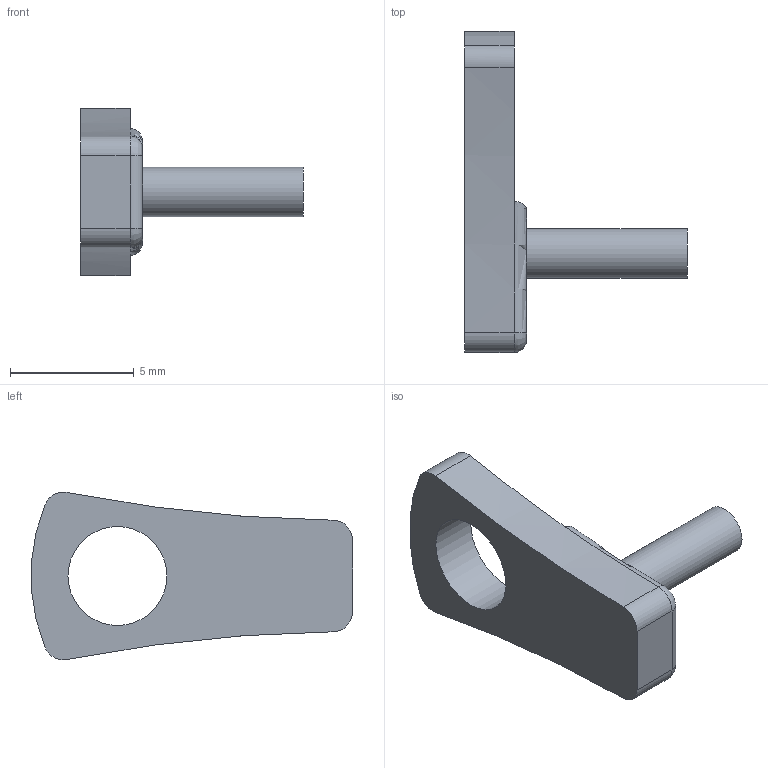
import cadquery as cq
import math

plate_thickness = 2.0
pad_thickness = 0.5
pin_diameter = 2.0
pin_end_x = 9.0
pin_to_flat_end = 4.0
pin_to_hole = 5.5
hole_diameter = 4.0
hole_to_round_end = 3.5

flat_end_half_width = 2.25
side_radius = 59.6
round_end_radius = 7.5
flat_corner_radius = 0.8
round_corner_radius = 0.8

pad_end_radius = 4.25
pad_edge_radius = 0.5

flat_end_y = -pin_to_flat_end
round_end_y = pin_to_hole + hole_to_round_end
round_end_center_y = round_end_y - round_end_radius
side_center_z = flat_end_half_width + side_radius


def side_half_width(y):
    """Half width of the plate; the concave side runs parallel to Y at the flat end."""
    return side_center_z - math.sqrt(side_radius**2 - (y - flat_end_y) ** 2)


def side_and_round_end_corner():
    """Point (y, z) where the concave side arc crosses the round end arc."""
    dy = round_end_center_y - flat_end_y
    distance = math.hypot(dy, side_center_z)
    along = (distance**2 + side_radius**2 - round_end_radius**2) / (2 * distance)
    across = math.sqrt(side_radius**2 - along**2)
    uy = dy / distance
    uz = -side_center_z / distance
    return flat_end_y + along * uy - across * uz, side_center_z + along * uz + across * uy


def outline_prism(thickness):
    """Tapered outline with rounded corners, extruded from X = 0."""
    corner_y, corner_z = side_and_round_end_corner()
    middle_y = (flat_end_y + corner_y) / 2
    middle_z = side_half_width(middle_y)
    prism = (
        cq.Workplane("YZ")
        .moveTo(flat_end_y, -flat_end_half_width)
        .threePointArc((middle_y, -middle_z), (corner_y, -corner_z))
        .threePointArc((round_end_y, 0), (corner_y, corner_z))
        .threePointArc((middle_y, middle_z), (flat_end_y, flat_end_half_width))
        .close()
        .extrude(thickness)
    )
    prism = prism.edges("|X").edges("<Y").fillet(flat_corner_radius)
    return prism.edges("|X").edges(">Y").fillet(round_corner_radius)


def x_cylinder(diameter, center_y, start_x, end_x):
    """Cylinder along X between two X positions."""
    return (
        cq.Workplane("YZ", origin=(start_x, center_y, 0))
        .circle(diameter / 2)
        .extrude(end_x - start_x)
    )


def make_pad():
    """Pad following the outline, rounded on its outer rim and hollowed around the hole axis."""
    pad_face_x = plate_thickness + pad_thickness
    pad = outline_prism(pad_face_x).faces(">X").edges().fillet(pad_edge_radius)
    plate_volume = outline_prism(plate_thickness)
    relief = x_cylinder(2 * pad_end_radius, pin_to_hole, plate_thickness, pad_face_x)
    return pad.cut(plate_volume).cut(relief)


plate = outline_prism(plate_thickness)
hole = x_cylinder(hole_diameter, pin_to_hole, 0, plate_thickness)
pin = x_cylinder(pin_diameter, 0, plate_thickness, pin_end_x)

result = plate.cut(hole).union(make_pad()).union(pin)